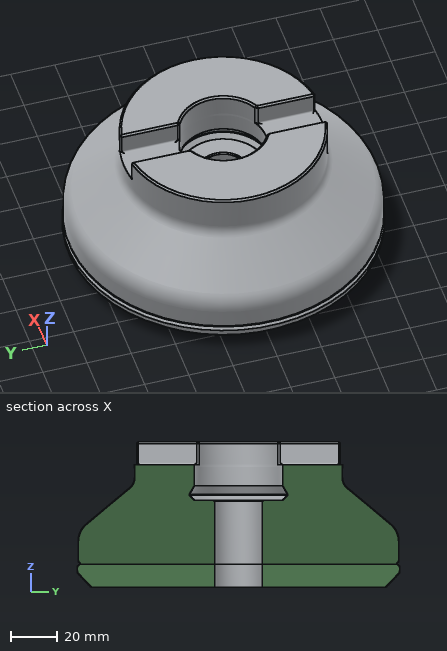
import cadquery as cq
import math

height = 63.0
rim_radius = 69.9
seam_z = 10.0

base_bottom_radius = 63.8
bevel_top_radius = 69.8
bevel_top_z = 6.3
rim_bottom_z = 7.1
rim_top_z = 9.0

neck_radius = rim_radius - (seam_z - rim_top_z)
neck_top_z = 10.6
skirt_radius = 69.5
skirt_bottom_z = neck_top_z + skirt_radius - neck_radius
skirt_top_z = 19.9
shoulder_radius = 9.8
boss_radius = 90.0 / 2
boss_bottom_z = 47.7
edge_chamfer = 0.8

hole_radius = 20.5 / 2
hole_chamfer = 0.5
bore_radius = 38.2 / 2
upper_bore_radius = 38.3 / 2
bore_step_height = 1.0
groove_top_z = 43.9
groove_depth = 2.1
groove_cone_height = 3.5
groove_wall_height = 0.5
bore_floor_z = groove_top_z - groove_cone_height - groove_wall_height - groove_depth

slot_width = 16.4
slot_floor_z = 53.1
slot_corner_radius = 0.8

cone_slope = math.radians(39.8)
turn = math.pi / 2 - cone_slope
cone_bottom_radius = skirt_radius - shoulder_radius * (1 - math.cos(turn))
cone_bottom_z = skirt_top_z + shoulder_radius * math.sin(turn)
cone_z_at_boss = cone_bottom_z + (cone_bottom_radius - boss_radius) * math.tan(cone_slope)
fillet_radius = (boss_bottom_z - cone_z_at_boss) / math.tan(turn / 2)
cone_top_radius = boss_radius + fillet_radius * (1 - math.cos(turn))
cone_top_z = boss_bottom_z - fillet_radius * math.sin(turn)


def arc_point(center_radius, center_z, radius, angle):
    """Point in the (radius, z) half plane on an arc of the outline."""
    return (center_radius + radius * math.cos(angle), center_z + radius * math.sin(angle))


def revolve(profile):
    """Turn a closed (radius, z) profile about the Z axis."""
    return profile.close().revolve(360, (0, 0, 0), (0, 1, 0))


def make_base_ring():
    return revolve(
        cq.Workplane("XZ")
        .moveTo(hole_radius, 0)
        .lineTo(base_bottom_radius, 0)
        .lineTo(bevel_top_radius, bevel_top_z)
        .lineTo(rim_radius, rim_bottom_z)
        .lineTo(rim_radius, rim_top_z)
        .lineTo(neck_radius, seam_z)
        .lineTo(hole_radius, seam_z)
    )


def make_turned_housing():
    shoulder_mid = arc_point(skirt_radius - shoulder_radius, skirt_top_z, shoulder_radius, turn / 2)
    fillet_mid = arc_point(boss_radius + fillet_radius, boss_bottom_z, fillet_radius, math.pi + turn / 2)
    return revolve(
        cq.Workplane("XZ")
        .moveTo(hole_radius, seam_z)
        .lineTo(neck_radius, seam_z)
        .lineTo(neck_radius, neck_top_z)
        .lineTo(skirt_radius, skirt_bottom_z)
        .lineTo(skirt_radius, skirt_top_z)
        .threePointArc(shoulder_mid, (cone_bottom_radius, cone_bottom_z))
        .lineTo(cone_top_radius, cone_top_z)
        .threePointArc(fillet_mid, (boss_radius, boss_bottom_z))
        .lineTo(boss_radius, height)
        .lineTo(upper_bore_radius, height)
        .lineTo(upper_bore_radius, slot_floor_z)
        .lineTo(bore_radius, slot_floor_z - bore_step_height)
        .lineTo(bore_radius, groove_top_z)
        .lineTo(bore_radius + groove_depth, groove_top_z - groove_cone_height)
        .lineTo(bore_radius + groove_depth, bore_floor_z + groove_depth)
        .lineTo(bore_radius, bore_floor_z)
        .lineTo(hole_radius + hole_chamfer, bore_floor_z)
        .lineTo(hole_radius, bore_floor_z - hole_chamfer)
    )


def make_slot_cutter():
    """Square bar along Y, as deep as the slot."""
    return (
        cq.Workplane("XY")
        .workplane(offset=slot_floor_z)
        .rect(slot_width, 2 * rim_radius)
        .extrude(height - slot_floor_z)
    )


def make_housing():
    slotted = make_turned_housing().cut(make_slot_cutter())
    corner_span = cq.selectors.BoxSelector(
        (-slot_width, -boss_radius, slot_floor_z),
        (slot_width, boss_radius, height),
    )
    upright_corners = slotted.edges("|Z").edges(corner_span)
    chamfered = slotted.faces(">Z").edges().add(upright_corners).chamfer(edge_chamfer)
    floor_span = cq.selectors.BoxSelector(
        (-slot_width, -boss_radius, slot_floor_z - slot_corner_radius),
        (slot_width, boss_radius, slot_floor_z + slot_corner_radius),
    )
    return chamfered.edges("|Y").edges(floor_span).fillet(slot_corner_radius)


base_ring = make_base_ring()
housing = make_housing()
result = cq.Compound.makeCompound([base_ring.val(), housing.val()])